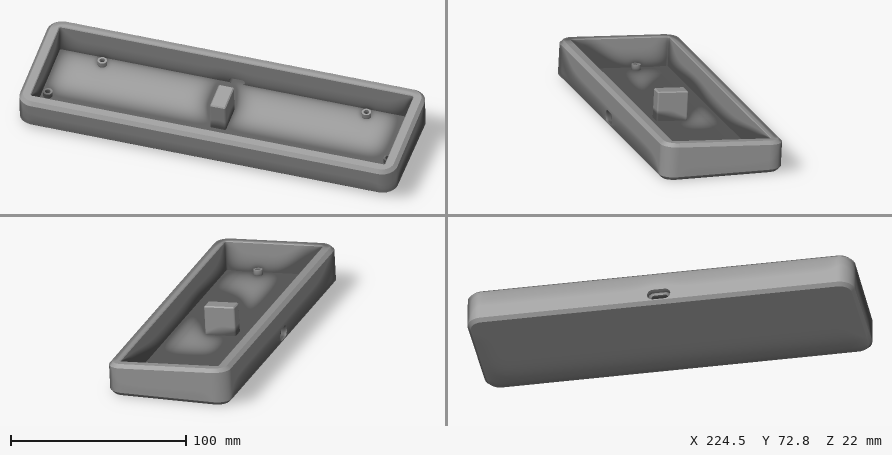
import cadquery as cq
import math

length = 224.5
width = 72.0
tilt = 3.0
corner_radius = 9.0
rim_height = 20.2
rim_chamfer = 2.0
base_chamfer = 2.0

wall = 7.0
cavity_corner_radius = 1.0
cavity_rim_chamfer = 0.5
floor_height = 2.5
floor_bend_y = -21.0

boss_diameter = 5.5
boss_hole_diameter = 3.1
boss_height = 3.1
boss_places = [(78.5, 23.5), (101.3, -9.2)]

block_length = 9.2
block_width = 18.2
block_top = 19.8
block_y = -0.2
block_corner_radius = 1.0
block_top_chamfer = 0.7

port_length = 9.5
port_height = 3.4
port_z = floor_height + port_height / 2
plug_length = 13.5
plug_height = 6.7
plug_depth = 3.4

overlap = 11.2
embed = 0.2


def tilted(solid):
    """Turn a solid from the rim's frame into the level frame of the base."""
    return solid.rotate((0, 0, 0), (1, 0, 0), tilt)


def space_above(height):
    """Large block that fills the space above a level height."""
    return cq.Workplane("XY", origin=(0, 0, height)).rect(2 * length, 2 * length).extrude(length)


def shell_body():
    blank = (
        cq.Workplane("XY", origin=(0, 0, -overlap))
        .rect(length, width)
        .extrude(rim_height + overlap)
        .edges("|Z")
        .fillet(corner_radius)
        .faces(">Z")
        .chamfer(rim_chamfer)
    )
    body = tilted(blank).intersect(space_above(0))
    return body.faces("<Z").chamfer(base_chamfer)


def cavity():
    opening = (
        cq.Workplane("XY", origin=(0, 0, floor_height))
        .rect(length - 2 * wall, width - 2 * wall)
        .extrude(rim_height - floor_height)
        .edges("|Z")
        .fillet(cavity_corner_radius)
    )
    flare = (
        opening.faces(">Z")
        .wires()
        .toPending()
        .offset2D(cavity_rim_chamfer)
        .extrude(-2 * cavity_rim_chamfer, combine=False, taper=45)
    )
    tilt_angle = math.radians(tilt)
    level_floor = floor_bend_y * math.sin(tilt_angle) + floor_height * math.cos(tilt_angle)
    return tilted(opening.union(flare)).intersect(space_above(level_floor))


def bosses():
    places = [(side * x, y) for x, y in boss_places for side in (-1, 1)]
    rings = (
        cq.Workplane("XY", origin=(0, 0, floor_height - embed))
        .pushPoints(places)
        .circle(boss_diameter / 2)
        .circle(boss_hole_diameter / 2)
        .extrude(boss_height + embed)
    )
    return tilted(rings)


def support_block():
    block = (
        cq.Workplane("XY", origin=(0, block_y, floor_height - embed))
        .rect(block_length, block_width)
        .extrude(block_top - floor_height + embed)
        .edges("|Z")
        .fillet(block_corner_radius)
        .faces(">Z")
        .chamfer(block_top_chamfer)
    )
    return tilted(block)


def port_slot(slot_length, slot_height, depth):
    """Round-ended cutter that enters the back wall from outside to the given depth."""
    return (
        cq.Workplane("XZ", origin=(0, width / 2 - depth, port_z))
        .slot2D(slot_length, slot_height)
        .extrude(-(depth + overlap))
    )


def cable_port():
    opening = port_slot(port_length, port_height, wall + embed)
    plug_recess = port_slot(plug_length, plug_height, plug_depth)
    return tilted(opening.union(plug_recess))


result = (
    shell_body()
    .cut(cavity())
    .union(bosses())
    .union(support_block())
    .cut(cable_port())
)